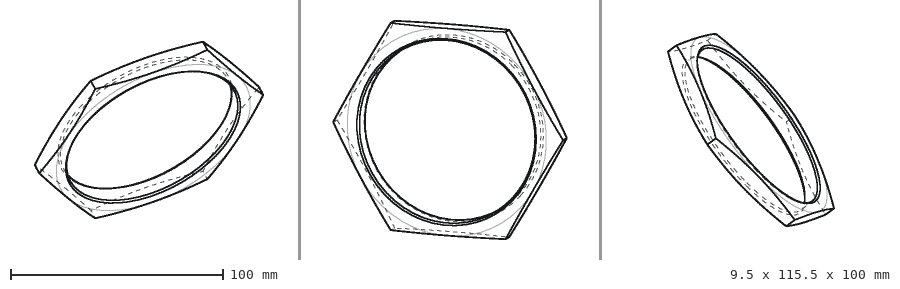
import cadquery as cq
import math

across_corners = 115.5
across_flats = across_corners * math.cos(math.radians(30))
thickness = 9.5
bore_radius = 44.1
bore_chamfer = 0.9
corner_chamfer_angle = 15.0

corner_radius = across_corners / 2
face_radius = across_flats / 2
corner_drop = (corner_radius - face_radius) * math.tan(math.radians(corner_chamfer_angle))


def hexagonal_blank():
    """Hexagonal plate with two corners on the Y axis, centred on X = 0."""
    return cq.Workplane("YZ").polygon(6, across_corners).extrude(thickness / 2, both=True)


def corner_chamfer_envelope():
    """Disc whose conical ends bevel the hexagon corners on both sides."""
    half = thickness / 2
    profile = [
        (-half, 0),
        (-half, face_radius),
        (-half + corner_drop, corner_radius),
        (half - corner_drop, corner_radius),
        (half, face_radius),
        (half, 0),
    ]
    return cq.Workplane("XY").polyline(profile).close().revolve(360, (0, 0, 0), (1, 0, 0))


def chamfered_bore():
    """Cutter for the through bore, widened by a 45 degree chamfer at each end."""
    half = thickness / 2
    mouth_radius = bore_radius + bore_chamfer
    profile = [
        (-half, 0),
        (-half, mouth_radius),
        (-half + bore_chamfer, bore_radius),
        (half - bore_chamfer, bore_radius),
        (half, mouth_radius),
        (half, 0),
    ]
    return cq.Workplane("XY").polyline(profile).close().revolve(360, (0, 0, 0), (1, 0, 0))


result = hexagonal_blank().intersect(corner_chamfer_envelope()).cut(chamfered_bore())